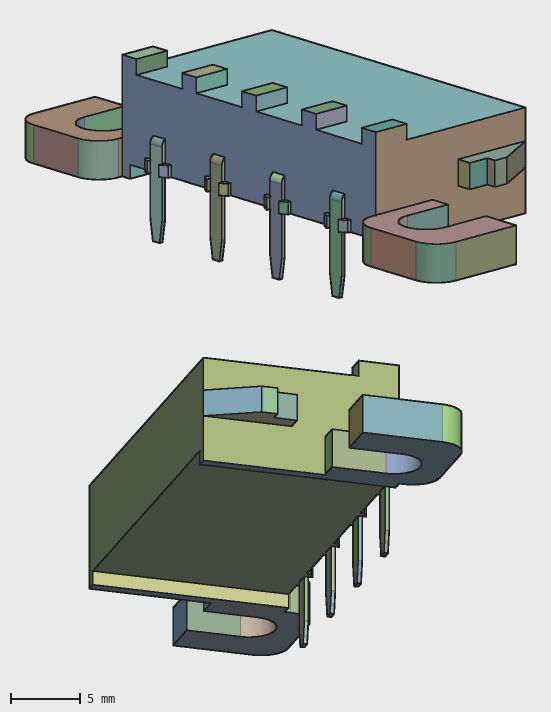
import cadquery as cq
import math

PITCH = 6.3
RIB_COUNT = 5
PIN_COUNT = RIB_COUNT - 1

RIB_WIDTH = 1.5
RIB_LENGTH = 3.05
RIB_RISE = 1.2

BODY_WIDTH = (RIB_COUNT - 1) * PITCH + RIB_WIDTH
BODY_DEPTH = 14.85
BODY_HEIGHT = 7.98
FOOT_WIDTH = 0.85
FOOT_HEIGHT = 1.05

TOTAL_WIDTH = 44.3
EAR_WIDTH = (TOTAL_WIDTH - BODY_WIDTH) / 2
EAR_HEIGHT = 2.93
EAR_OVERHANG = 2.45
EAR_BACK = 5.65
EAR_CORNER_RADIUS = 2.05
SLOT_WIDTH = 4.0
SLOT_INNER_WALL = 1.65
SLOT_BOTTOM = -0.45

LATCH_BASE = 3.45
LATCH_HEIGHT = 2.0
LATCH_REACH = 2.05
LATCH_NECK_REACH = 1.25
LATCH_TIP_BACK = 11.1
LATCH_TIP_FRONT = 9.9
LATCH_NECK_FRONT = 8.15

PIN_WIDTH = 1.25
PIN_THICKNESS = 0.3
PIN_TOP = 3.8
PIN_BEND_RADIUS = 0.65
PIN_BOTTOM = -4.05
PIN_TIP_WIDTH = 0.7
PIN_TAPER_LENGTH = 1.7

LUG_WIDTH = 0.6
LUG_DEPTH = 0.6
LUG_SIDE_DEPTH = 0.25
LUG_TOP = 2.0


def centred_positions(count):
    """X positions of a row of features spaced by the pitch."""
    return [(i - (count - 1) / 2) * PITCH for i in range(count)]


def make_body():
    """Block with a shallow channel along its underside, leaving a foot on each side."""
    block = cq.Workplane("XY").box(BODY_WIDTH, BODY_DEPTH, BODY_HEIGHT, centered=(True, False, False))
    channel_width = BODY_WIDTH - 2 * FOOT_WIDTH
    channel = cq.Workplane("XY").box(channel_width, BODY_DEPTH, FOOT_HEIGHT, centered=(True, False, False))
    return block.cut(channel)


def make_rib(x):
    rib = cq.Workplane("XY").box(RIB_WIDTH, RIB_LENGTH, RIB_RISE, centered=(True, False, False))
    return rib.translate((x, 0, BODY_HEIGHT))


def make_ear():
    """Ear on the -X side: rounded front corners and a round-bottomed slot."""
    inner_x = -BODY_WIDTH / 2
    center_x = inner_x - EAR_WIDTH / 2
    ear_length = EAR_BACK + EAR_OVERHANG
    ear = (
        cq.Workplane("XY")
        .box(EAR_WIDTH, ear_length, EAR_HEIGHT, centered=(True, False, False))
        .translate((center_x, -EAR_OVERHANG, 0))
        .edges("|Z and <Y")
        .fillet(EAR_CORNER_RADIUS)
    )
    slot_right = inner_x - SLOT_INNER_WALL
    slot_left = slot_right - SLOT_WIDTH
    slot_radius = SLOT_WIDTH / 2
    arc_y = SLOT_BOTTOM + slot_radius
    slot = (
        cq.Workplane("XY")
        .moveTo(slot_left, EAR_BACK)
        .lineTo(slot_left, arc_y)
        .threePointArc((slot_left + slot_radius, SLOT_BOTTOM), (slot_right, arc_y))
        .lineTo(slot_right, EAR_BACK)
        .close()
        .extrude(EAR_HEIGHT)
    )
    return ear.cut(slot)


def make_latch():
    """Ramped latch on the -X side, stepping back to a neck in front of its tip."""
    side_x = -BODY_WIDTH / 2
    tip_x = side_x - LATCH_REACH
    neck_x = side_x - LATCH_NECK_REACH
    outline = [
        (side_x, BODY_DEPTH),
        (tip_x, LATCH_TIP_BACK),
        (tip_x, LATCH_TIP_FRONT),
        (neck_x, LATCH_TIP_FRONT),
        (neck_x, LATCH_NECK_FRONT),
        (side_x, LATCH_NECK_FRONT),
    ]
    return cq.Workplane("XY").workplane(offset=LATCH_BASE).polyline(outline).close().extrude(LATCH_HEIGHT)


def make_pin(x):
    """Flat pin against the front face, with a tapered tip and a top that bends back into the housing."""
    half = PIN_WIDTH / 2
    tip_half = PIN_TIP_WIDTH / 2
    taper_z = PIN_BOTTOM + PIN_TAPER_LENGTH
    outline = [
        (-half, PIN_TOP),
        (-half, taper_z),
        (-tip_half, PIN_BOTTOM),
        (tip_half, PIN_BOTTOM),
        (half, taper_z),
        (half, PIN_TOP),
    ]
    blade = cq.Workplane("XZ").polyline(outline).close().extrude(PIN_THICKNESS)

    bend_y = PIN_BEND_RADIUS - PIN_THICKNESS
    bend_z = PIN_TOP - math.sqrt(PIN_BEND_RADIUS**2 - bend_y**2)
    middle_angle = (math.pi + math.acos(-bend_y / PIN_BEND_RADIUS)) / 2
    arc_middle = (
        bend_y + PIN_BEND_RADIUS * math.cos(middle_angle),
        bend_z + PIN_BEND_RADIUS * math.sin(middle_angle),
    )
    outside_bend = (
        cq.Workplane("YZ")
        .moveTo(0, PIN_TOP)
        .threePointArc(arc_middle, (-PIN_THICKNESS, bend_z))
        .lineTo(-PIN_THICKNESS, PIN_TOP)
        .close()
        .extrude(half, both=True)
    )
    return blade.cut(outside_bend).translate((x, 0, 0))


def make_lug(x, side):
    """Lug beside a pin with a sloped front; side is -1 or +1 along X."""
    inner_x = x + side * PIN_WIDTH / 2
    outer_x = inner_x + side * LUG_WIDTH
    outline = [
        (inner_x, 0),
        (inner_x, -LUG_DEPTH),
        (outer_x, -LUG_SIDE_DEPTH),
        (outer_x, 0),
    ]
    return (
        cq.Workplane("XY")
        .workplane(offset=FOOT_HEIGHT)
        .polyline(outline)
        .close()
        .extrude(LUG_TOP - FOOT_HEIGHT)
    )


result = make_body()

for rib_x in centred_positions(RIB_COUNT):
    result = result.union(make_rib(rib_x))

for side_feature in (make_ear(), make_latch()):
    result = result.union(side_feature).union(side_feature.mirror("YZ"))

for pin_x in centred_positions(PIN_COUNT):
    result = result.union(make_pin(pin_x))
    for lug_side in (-1, 1):
        result = result.union(make_lug(pin_x, lug_side))